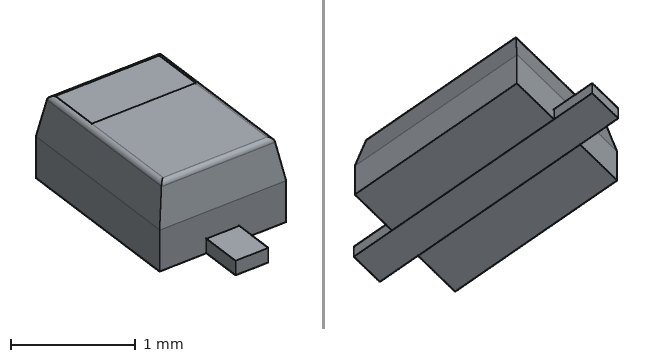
import cadquery as cq
import math

housing_length = 1.7
housing_width = 1.25
housing_height = 0.8
straight_height = housing_height / 2
draft_angle = 10
rim_radius = 0.05

lead_length = 2.5
lead_width = 0.325
lead_thickness = 0.14

band_end_x = -0.238
band_depth = 0.01

draft_height = housing_height - straight_height
draft_inset = draft_height * math.tan(math.radians(draft_angle))
rim_inset = rim_radius * math.tan(math.radians((90 - draft_angle) / 2))
flat_inset = draft_inset + rim_inset
flat_start_x = -housing_length / 2 + flat_inset
band_length = band_end_x - flat_start_x
band_width = housing_width - 2 * flat_inset


def make_lead():
    return cq.Workplane("XY").box(lead_length, lead_width, lead_thickness, centered=(True, True, False))


def make_band():
    return (
        cq.Workplane("XY")
        .box(band_length, band_width, band_depth, centered=(False, True, False))
        .translate((flat_start_x, 0, housing_height - band_depth))
    )


def make_housing(lead, band):
    base = cq.Workplane("XY").rect(housing_length, housing_width).extrude(straight_height)
    cap = (
        cq.Workplane("XY")
        .workplane(offset=straight_height)
        .rect(housing_length, housing_width)
        .extrude(draft_height, taper=draft_angle)
    )
    body = base.union(cap).faces(">Z").edges().fillet(rim_radius)
    return body.cut(lead).cut(band)


lead = make_lead()
band = make_band()
housing = make_housing(lead, band)

result = cq.Compound.makeCompound([housing.val(), lead.val(), band.val()])